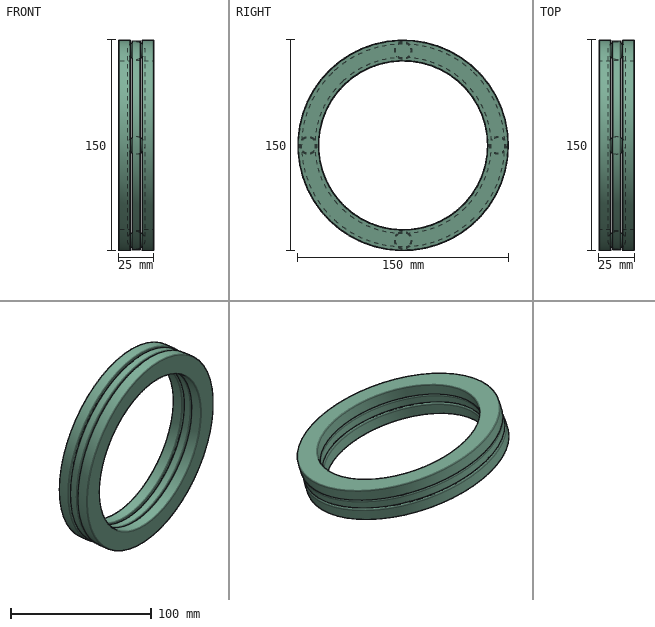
import cadquery as cq
import math

outer_diameter = 150.0
bore_diameter = 120.0
bearing_width = 25.0
race_width = 8.4
cage_width = 6.0
cage_margin = 0.51
edge_radius = 0.5
ball_diameter = 12.6
ball_count = 4

outer_radius = outer_diameter / 2
bore_radius = bore_diameter / 2
ball_radius = ball_diameter / 2
pitch_radius = (outer_radius + bore_radius) / 2
race_offset = (bearing_width - race_width) / 2


def make_ring(outer, inner, width, center_x):
    """Flat ring with rounded edges around the X axis, centred at center_x."""
    return (
        cq.Workplane("YZ", origin=(center_x - width / 2, 0, 0))
        .circle(outer)
        .circle(inner)
        .extrude(width)
        .edges()
        .fillet(edge_radius)
    )


def make_race(side):
    """Race on the given side (-1 or 1), with a groove that fits the balls."""
    ring = make_ring(outer_radius, bore_radius, race_width, side * race_offset)
    ball_track = cq.Solid.makeTorus(
        pitch_radius, ball_radius, cq.Vector(0, 0, 0), cq.Vector(1, 0, 0)
    )
    return ring.cut(cq.Workplane(ball_track))


def make_ball(index):
    """One ball on the pitch circle, the first at the top."""
    angle = 2 * math.pi * index / ball_count
    center = (0, pitch_radius * math.sin(angle), pitch_radius * math.cos(angle))
    return cq.Workplane("YZ", origin=center).sphere(ball_radius)


def make_cage(held_balls):
    """Ring between the races, with a spherical pocket for each ball."""
    cage = make_ring(
        outer_radius - cage_margin, bore_radius + cage_margin, cage_width, 0
    )
    for ball in held_balls:
        cage = cage.cut(ball)
    return cage


races = [make_race(side) for side in (-1, 1)]
balls = [make_ball(index) for index in range(ball_count)]
cage = make_cage(balls)

result = cq.Compound.makeCompound(
    [
        *[race.val() for race in races],
        cage.val(),
        *[ball.val() for ball in balls],
    ]
)